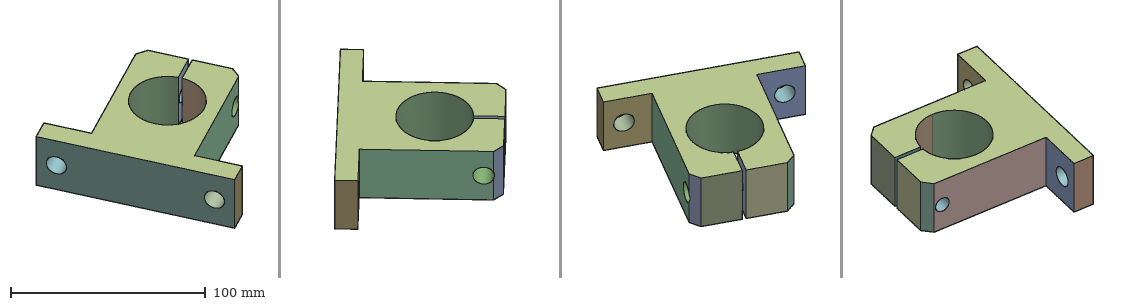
import cadquery as cq

length = 108.0
depth = 86.0
height = 32.0

flange_thickness = 12.0
mount_hole_diameter = 11.0
mount_hole_spacing = 86.0

block_width = 56.0
corner_chamfer = 5.0
bore_diameter = 40.0
bore_center_y = 50.0
slit_width = 2.0
threaded_hole_diameter = 8.4
clearance_hole_diameter = 11.0
clamp_hole_inset = 10.0


def make_body():
    """T-shaped body with its front face at Y = 0 and its bottom at Z = 0."""
    flange = cq.Workplane("XY").box(length, flange_thickness, height, centered=(True, False, False))
    block = (
        cq.Workplane("XY")
        .box(block_width, depth, height, centered=(True, False, False))
        .edges("|Z and >Y")
        .chamfer(corner_chamfer)
    )
    return flange.union(block)


def make_bore():
    """Vertical shaft bore."""
    return cq.Workplane("XY").center(0, bore_center_y).circle(bore_diameter / 2).extrude(height)


def make_slit():
    """Clamping slit from the bore center out through the back face."""
    return (
        cq.Workplane("XY")
        .center(0, bore_center_y)
        .box(slit_width, depth - bore_center_y, height, centered=(True, False, False))
    )


def make_mount_holes():
    """Pair of bolt holes running through the flange along Y."""
    return (
        cq.Workplane("XZ")
        .pushPoints([(side * mount_hole_spacing / 2, height / 2) for side in (-1, 1)])
        .circle(mount_hole_diameter / 2)
        .extrude(-flange_thickness)
    )


def make_clamp_hole(diameter, side):
    """Clamp screw hole along X through the jaw on the given side (-1 or 1) of the slit."""
    return (
        cq.Workplane("YZ")
        .center(depth - clamp_hole_inset, height / 2)
        .circle(diameter / 2)
        .extrude(side * block_width / 2)
    )


result = (
    make_body()
    .cut(make_bore())
    .cut(make_slit())
    .cut(make_mount_holes())
    .cut(make_clamp_hole(threaded_hole_diameter, -1))
    .cut(make_clamp_hole(clearance_hole_diameter, 1))
)